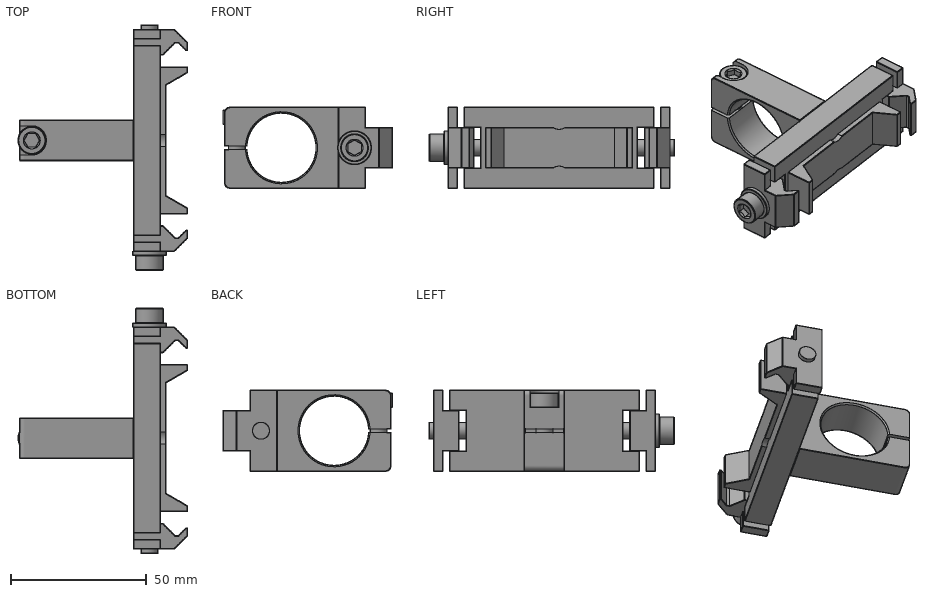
import cadquery as cq
import math


base_thickness = 10.05
base_length = 70.05
height = 30.0
reach = 20.0
edge_chamfer = 0.2
guide_floor = 29.0
rib_top = 12.0
rib_width = 15.0
leg_outer = 27.15
leg_tip_width = 2.2
leg_angle = 30
notch_diameter = 7.8
notch_center_z = 10.7

jaw_outer = 41.0
slab_thickness = 3.5
tongue_width = 15.0
tongue_end = 31.5
hook_outer_corner = 15.1
hook_tip_inner = 33.1
hook_tip_flat = 0.5
hook_valley = 36.0
hook_heel = 10.95

arm_length = 42.0
arm_width = 15.0
arm_corner_radius = 2.0
bore_diameter = 25.5
bore_chamfer = 0.5
bore_x = -arm_length / 2
slit_width = 1.4
pocket_width = 10.8
pocket_floor = 8.5

shank_diameter = 6.2
head_diameter = 10.2
head_height = 5.5
head_chamfer = 0.3
socket_across_flats = 5.0
socket_rim = 6.2
socket_depth = 2.7
hex_half_angle = 30
clamp_screw_x = -37.5
clamp_screw_length = 20.0
jaw_screw_x = 6.0
washer_diameter = 12.5
washer_thickness = 1.45
washer_chamfer = 0.2
screw_overhang = 1.5

tolerance = 0.01

jaw_screw_seat = -jaw_outer - washer_thickness
jaw_screw_length = jaw_outer + screw_overhang - jaw_screw_seat


def box(x_range, y_range, z_range):
    """Box between the given limits."""
    x_size = x_range[1] - x_range[0]
    y_size = y_range[1] - y_range[0]
    z_size = z_range[1] - z_range[0]
    corner = (x_range[0], y_range[0], z_range[0])
    return cq.Workplane("XY").box(x_size, y_size, z_size, centered=False).translate(corner)


def without(body, left_out):
    """Edges of the body, less the ones left out."""
    skipped = left_out.vals()
    return [edge for edge in body.edges().vals() if not any(edge.isSame(other) for other in skipped)]


def along_y(diameter, start, length):
    """Cylinder on the jaw screw axis, from Y = start toward +Y."""
    axis = cq.Plane(origin=(jaw_screw_x, start, 0), xDir=(1, 0, 0), normal=(0, 1, 0))
    return cq.Workplane(axis).circle(diameter / 2).extrude(length)


def socket_screw(shank_length):
    """Socket head screw on the Z axis: the head stands on Z = 0, the shank hangs below."""
    head = cq.Workplane("XY").circle(head_diameter / 2).extrude(head_height)
    head = head.edges().chamfer(head_chamfer)
    shank = cq.Workplane("XY").circle(shank_diameter / 2).extrude(-shank_length)
    hex_diameter = socket_across_flats / math.cos(math.radians(hex_half_angle))
    top = cq.Workplane("XY").workplane(offset=head_height)
    socket = top.polygon(6, hex_diameter).extrude(-socket_depth)
    rim_depth = (socket_rim - socket_across_flats) / 2
    rim = cq.Workplane(cq.Solid.makeCone(
        socket_across_flats / 2, socket_rim / 2, rim_depth,
        pnt=cq.Vector(0, 0, head_height - rim_depth)))
    return head.union(shank).cut(socket).cut(rim)


def make_base_block():
    """Plate with a jaw slot in each end."""
    half_length = base_length / 2
    half_height = height / 2
    half_guide = tongue_width / 2
    block = box((0, base_thickness), (-half_length, half_length), (-half_height, half_height))
    for limits in ((guide_floor, half_length), (-half_length, -guide_floor)):
        block = block.cut(box((0, base_thickness), limits, (-half_guide, half_guide)))
    inner_corners = block.edges("|X").edges(cq.selectors.BoxSelector(
        (0, -guide_floor - tolerance, -half_guide - tolerance),
        (base_thickness, guide_floor + tolerance, half_guide + tolerance)))
    return block.newObject(without(block, inner_corners)).chamfer(edge_chamfer)


def make_rib():
    """Raised rib on the +X face, with a leg at each end and a notch in each long side."""
    leg_inner = leg_outer - leg_tip_width
    leg_root = leg_inner - (reach - rib_top) * math.tan(math.radians(leg_angle))
    rib = (
        cq.Workplane("XY").workplane(offset=-rib_width / 2)
        .polyline([
            (base_thickness, -leg_outer), (reach, -leg_outer), (reach, -leg_inner),
            (rib_top, -leg_root), (rib_top, leg_root),
            (reach, leg_inner), (reach, leg_outer), (base_thickness, leg_outer),
        ])
        .close().extrude(rib_width)
    )
    root_edges = rib.edges(cq.selectors.BoxSelector(
        (base_thickness - tolerance, -leg_outer - tolerance, -height),
        (base_thickness + tolerance, leg_outer + tolerance, height)))
    leg_roots = rib.edges("|Z").edges(cq.selectors.BoxSelector(
        (rib_top - tolerance, -leg_outer, -height),
        (rib_top + tolerance, leg_outer, height)))
    rib = rib.newObject(without(rib, root_edges.add(leg_roots))).chamfer(edge_chamfer)
    notches = (
        cq.Workplane("YZ").workplane(offset=base_thickness)
        .pushPoints([(0, -notch_center_z), (0, notch_center_z)])
        .circle(notch_diameter / 2).extrude(rib_top - base_thickness)
    )
    return rib.cut(notches)


def make_base():
    base = make_base_block().union(make_rib())
    return base.cut(along_y(shank_diameter, -base_length / 2, base_length))


def make_jaw():
    """Jaw on the +Y end: a slab across the end and a tongue that runs out into a hook."""
    slab_inner = jaw_outer - slab_thickness
    slab = box((0, base_thickness), (slab_inner, jaw_outer), (-height / 2, height / 2))
    valley_start = hook_heel + hook_valley - tongue_end
    tip_start = reach - hook_tip_flat
    valley_stop = tip_start - (hook_valley - hook_tip_inner)
    bevel_end = jaw_outer - (reach - hook_outer_corner)
    half_tongue = tongue_width / 2
    tongue = (
        cq.Workplane("XY").workplane(offset=-half_tongue)
        .polyline([
            (0, jaw_outer), (hook_outer_corner, jaw_outer), (reach, bevel_end),
            (reach, hook_tip_inner), (tip_start, hook_tip_inner),
            (valley_stop, hook_valley), (valley_start, hook_valley),
            (hook_heel, tongue_end), (0, tongue_end),
        ])
        .close().extrude(tongue_width)
    )
    jaw = slab.union(tongue)

    inner_corners = jaw.edges(cq.selectors.BoxSelector(
        (-tolerance, slab_inner - tolerance, -half_tongue - tolerance),
        (base_thickness + tolerance, jaw_outer - tolerance, half_tongue + tolerance)))
    valley_corners = jaw.edges("|Z").edges(cq.selectors.BoxSelector(
        (valley_start - tolerance, hook_valley - tolerance, -height),
        (valley_stop + tolerance, hook_valley + tolerance, height)))
    jaw = jaw.newObject(without(jaw, inner_corners.add(valley_corners))).chamfer(edge_chamfer)
    return jaw.cut(along_y(shank_diameter, tongue_end, jaw_outer - tongue_end))


def make_arm():
    half_width = arm_width / 2
    arm = box((-arm_length, 0), (-half_width, half_width), (-height / 2, height / 2))
    arm = arm.edges("|Y and <X").fillet(arm_corner_radius)
    arm = arm.faces("<Y or >Y or >X").edges().chamfer(edge_chamfer)

    bore_axis = cq.Plane(origin=(bore_x, -half_width, 0), xDir=(-1, 0, 0), normal=(0, 1, 0))
    bore = cq.Workplane(bore_axis).circle(bore_diameter / 2).extrude(arm_width)
    arm = arm.cut(bore)
    bore_rims = arm.faces("<Y or >Y").edges("%CIRCLE").edges(cq.selectors.RadiusNthSelector(-1))
    arm = bore_rims.chamfer(bore_chamfer)

    half_slit = slit_width / 2
    arm = arm.cut(box((-arm_length, bore_x), (-half_width, half_width), (-half_slit, half_slit)))

    pocket_half = pocket_width / 2
    pocket = box((-arm_length, clamp_screw_x), (-pocket_half, pocket_half), (pocket_floor, height / 2))
    pocket_end = (
        cq.Workplane("XY").workplane(offset=pocket_floor).center(clamp_screw_x, 0)
        .circle(pocket_half).extrude(height / 2 - pocket_floor)
    )
    screw_hole = (
        cq.Workplane("XY").workplane(offset=pocket_floor).center(clamp_screw_x, 0)
        .circle(shank_diameter / 2).extrude(-clamp_screw_length)
    )
    return arm.cut(pocket).cut(pocket_end).cut(screw_hole)


base = make_base()
arm = make_arm()
far_jaw = make_jaw()
jaws = [far_jaw, far_jaw.mirror("XZ")]
clamp_screw = socket_screw(clamp_screw_length).translate((clamp_screw_x, 0, pocket_floor))
jaw_screw = (
    socket_screw(jaw_screw_length)
    .rotate((0, 0, 0), (0, 0, 1), hex_half_angle)
    .rotate((0, 0, 0), (1, 0, 0), 90)
    .translate((jaw_screw_x, jaw_screw_seat, 0))
)
washer = along_y(washer_diameter, jaw_screw_seat, washer_thickness)
washer = washer.faces("<Y").edges().chamfer(washer_chamfer)
washer = washer.cut(along_y(shank_diameter, jaw_screw_seat, washer_thickness))

result = cq.Compound.makeCompound([
    base.val(), arm.val(), *[jaw.val() for jaw in jaws],
    clamp_screw.val(), jaw_screw.val(), washer.val(),
])